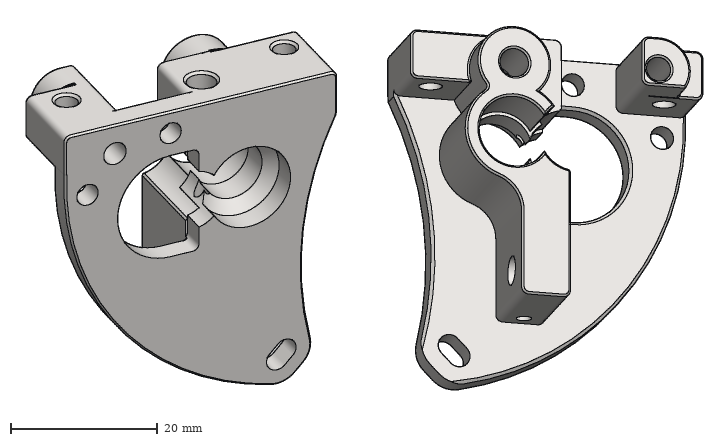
import cadquery as cq
import math


depth = 17.5
width = 41.35
height = 47.25

bar_front = 5.0
plate_front = 13.95
bore_step = 7.85
flare_start = 12.2

corner_radius = 1.0
edge_chamfer = 0.3
plate_chamfer = 0.43
boss_flare = 0.25

bar_height = 6.9
notch_y_min = 9.95
notch_y_max = 20.05

bore_y = 28.0
clearance_y = 19.45
bore_z = -14.92
bore_radius = 4.5
bore_front_radius = 4.95
flare_radius = bore_radius + plate_front - flare_start
ring_radius = 6.95
cusp_y = (bore_y + clearance_y) / 2

leg_y_max = 26.95
leg_bottom = -38.0
leg_blend_radius = 5.0
leg_hole_diameter = 4.0
leg_hole_x = 5.55
leg_hole_z = -33.2

pivot_radius = 5.15
pivot_hole_diameter = 4.0
pivot_hole_depth = 9.45
drill_tip_angle = 118.0
neck_fillet = 0.7

lug_boss_y = 7.6
lug_boss_radius = 4.5
lug_hole_diameter = 3.4

mount_hole_diameter = 3.2
mount_hole_x = 8.5
mount_hole_ys = (4.65, 37.65)
screw_x = 11.55
screw_y = 23.6
screw_diameter = 2.1
screw_head_diameter = 4.2
screw_head_depth = 4.7
hole_chamfer = 0.4

plate_hole_diameter = 3.2
plate_holes = ((16.05, -3.4), (3.45, -9.95))
convex_center_z = -8.0
concave_center = (86.75, -29.45)
tip_radius = 3.95
slot_diameter = 3.2
slot_length = 1.8
slot_angle = 45.0
slot_low = (32.2, tip_radius - height)
window_y = 16.0
window_radius = 8.0
window_y_max = 20.35


def yz_plane(x):
    """Sketch plane facing +X at the given depth; its axes are Y and Z."""
    return cq.Workplane("YZ", origin=(x, 0, 0))


def block(x, y, z):
    """Box between the (low, high) limits of each axis."""
    size = (x[1] - x[0], y[1] - y[0], z[1] - z[0])
    return cq.Workplane("XY").box(*size, centered=False).translate((x[0], y[0], z[0]))


def rod(y, z, radius, x_start, x_end):
    """Cylinder along X."""
    return yz_plane(x_start).center(y, z).circle(radius).extrude(x_end - x_start)


def cone(y, z, radius_start, radius_end, x_start, x_end):
    """Truncated cone along X."""
    section = yz_plane(x_start).center(y, z).circle(radius_start)
    return section.workplane(offset=x_end - x_start).circle(radius_end).loft()


def polar(center, radius, angle):
    """Point at an angle (radians) on a circle."""
    return (center[0] + radius * math.cos(angle), center[1] + radius * math.sin(angle))


def add_arc(outline, center, radius, start, end):
    """Continue an outline along a circle, from its start angle to its end angle."""
    return outline.threePointArc(polar(center, radius, (start + end) / 2), polar(center, radius, end))


def angle_to(start, end):
    """Direction of the line from start to end, from 0 to a full turn."""
    return math.atan2(end[1] - start[1], end[0] - start[0]) % (2 * math.pi)


slot_high = polar(slot_low, slot_length, math.radians(slot_angle))


def make_plate():
    """Sail-shaped plate whose curved edges run tangent into the rounded tip."""
    tip_drop = convex_center_z - slot_low[1]
    convex_radius = (slot_low[0] ** 2 + tip_drop**2 - tip_radius**2) / (2 * (slot_low[0] - tip_radius))
    convex_center = (convex_radius, convex_center_z)
    convex_end = angle_to(convex_center, slot_low)

    concave_radius = math.dist(concave_center, slot_high) - tip_radius
    concave_start = angle_to(concave_center, slot_high)
    concave_end = math.pi - math.asin((-bar_height - concave_center[1]) / concave_radius)

    tip_side = math.radians(slot_angle - 90) + 2 * math.pi

    plate_top = corner_radius - bar_height
    outline = yz_plane(plate_front).moveTo(width, plate_top).lineTo(0, plate_top)
    outline = outline.lineTo(0, convex_center_z)
    outline = add_arc(outline, convex_center, convex_radius, math.pi, convex_end)
    outline = add_arc(outline, slot_low, tip_radius, convex_end, tip_side)
    outline = outline.lineTo(*polar(slot_high, tip_radius, tip_side))
    outline = add_arc(outline, slot_high, tip_radius, tip_side, concave_start + math.pi)
    outline = add_arc(outline, concave_center, concave_radius, concave_start, concave_end)
    plate = outline.close().extrude(depth - plate_front)
    bevel_end = plate_front + plate_chamfer
    convex_bevel = cone(
        *convex_center, convex_radius - plate_chamfer, convex_radius, plate_front, bevel_end
    ).union(rod(*convex_center, convex_radius, bevel_end, depth))
    concave_bevel = cone(
        *concave_center, concave_radius + plate_chamfer, concave_radius, plate_front, bevel_end
    )
    return plate.intersect(convex_bevel).cut(concave_bevel)


def make_bar():
    """Top bar across the full width, with the notch between the two lugs."""
    bar = block((bar_front, depth), (0, width), (-bar_height, 0))
    bar = bar.edges("|X").fillet(corner_radius)
    bar = bar.faces("<X").chamfer(edge_chamfer)
    notch = block((0, plate_front), (notch_y_min - corner_radius, bore_y), (-height, 0))
    bar = bar.cut(notch)
    short_side = block((bar_front, plate_front), (lug_boss_y, notch_y_min), (-bar_height, 0))
    bar = bar.union(short_side.edges("|X and >Y").fillet(corner_radius))
    long_side = block((bar_front, plate_front), (notch_y_max, bore_y), (bore_z, 0))
    return bar.union(long_side.edges("|X and >Z and <Y").fillet(corner_radius))


def make_flare(y, z, radius):
    """Narrow cone at the foot of a boss where it meets the bar."""
    flare = cone(y, z, radius, radius + boss_flare, bar_front - boss_flare, bar_front)
    return flare.intersect(block((0, bar_front), (0, width), (-bar_height, 0)))


def make_short_lug():
    """Rounded boss carrying the short lug out to the clamp front."""
    boss = block((0, bar_front), (lug_boss_y, notch_y_min), (-bar_height, 0))
    boss = boss.union(rod(lug_boss_y, -lug_boss_radius, lug_boss_radius, 0, bar_front))
    boss = boss.intersect(block((0, bar_front), (0, notch_y_min), (-bar_height, 0)))
    boss = boss.edges("|X and >Y").fillet(corner_radius)
    boss = boss.faces("<X").chamfer(edge_chamfer)
    flare = make_flare(lug_boss_y, -lug_boss_radius, lug_boss_radius)
    return boss.union(flare.intersect(block((0, bar_front), (0, lug_boss_y), (-height, 0))))


def make_leg_blend():
    """Concave arc running from the leg's side into the clamp ring."""
    center_y = leg_y_max + leg_blend_radius
    center_z = bore_z - math.sqrt((ring_radius + leg_blend_radius) ** 2 - (center_y - bore_y) ** 2)
    center = (center_y, center_z)
    touch_angle = angle_to(center, (bore_y, bore_z))
    outline = yz_plane(0).moveTo(bore_y, bore_z).lineTo(cusp_y, bore_z).lineTo(cusp_y, center_z)
    outline = outline.lineTo(leg_y_max, center_z)
    outline = add_arc(outline, center, leg_blend_radius, math.pi, touch_angle)
    return outline.close().extrude(plate_front)


def make_clamp():
    """Pivot boss, clamp ring and leg as one profile running back to the plate."""
    leg = block((0, plate_front), (notch_y_max, leg_y_max), (leg_bottom, bore_z))
    leg = leg.edges("|X and <Z").fillet(corner_radius)
    ring = rod(bore_y, bore_z, ring_radius, 0, plate_front)
    ring = ring.intersect(block((0, plate_front), (notch_y_max, width), (-height, 0)))
    pivot = rod(bore_y, -pivot_radius, pivot_radius, 0, plate_front)
    clamp = leg.union(make_leg_blend()).union(ring).union(pivot)
    neck = cq.selectors.BoxSelector((0, bore_y, bore_z), (plate_front, width, -pivot_radius))
    clamp = clamp.edges("|X").edges(neck).fillet(neck_fillet)
    clamp = clamp.faces("<X").chamfer(edge_chamfer)
    flare = make_flare(bore_y, -pivot_radius, pivot_radius)
    return clamp.union(flare.intersect(block((0, bar_front), (bore_y, width), (-height, 0))))


def cut_clearance(body):
    """Clearance bore through the lugs, with its edges and front mouth chamfered."""
    body = body.cut(rod(clearance_y, bore_z, bore_front_radius, 0, plate_front))
    rims = cq.selectors.BoxSelector(
        (0, notch_y_max - edge_chamfer, bore_z - ring_radius),
        (plate_front, notch_y_max + edge_chamfer, bore_z + ring_radius),
    )
    body = body.edges("|X").edges(rims).chamfer(edge_chamfer)
    return body.cut(bore_mouth(clearance_y))


def bore_mouth(y):
    """Chamfer cone at the front end of a bore."""
    return cone(y, bore_z, bore_front_radius + edge_chamfer, bore_front_radius, 0, edge_chamfer)


def make_sleeve():
    """Inner half of the clamp ring, where both bores narrow."""
    return rod(bore_y, bore_z, ring_radius, bore_step, plate_front)


def cut_bores(body):
    """Stepped clamp bore flaring into the plate, and the narrow clearance bore."""
    body = body.cut(bore_mouth(bore_y))
    body = body.cut(rod(bore_y, bore_z, bore_front_radius, 0, bore_step))
    body = body.cut(rod(bore_y, bore_z, bore_radius, 0, plate_front))
    body = body.cut(cone(bore_y, bore_z, bore_radius, flare_radius, flare_start, plate_front))
    body = body.cut(rod(bore_y, bore_z, flare_radius, plate_front, depth))
    return body.cut(rod(clearance_y, bore_z, bore_radius, 0, depth))


def cut_window(body):
    """Round-ended window through the plate, with a chamfered front rim."""
    top = bore_z + window_radius
    bottom = bore_z - window_radius
    window = block((plate_front, depth), (window_y, window_y_max), (bottom, top))
    window = window.edges("|X and >Y").fillet(corner_radius)
    round_end = rod(window_y, bore_z, window_radius, plate_front, depth)
    window = window.union(round_end.intersect(block((plate_front, depth), (0, window_y), (-height, 0))))
    rim = window.faces("<X").wires().toPending().offset2D(plate_chamfer)
    rim = rim.extrude(plate_chamfer, taper=45)
    rim = rim.intersect(block((plate_front, depth), (0, notch_y_max), (-height, 0)))
    return body.cut(window).cut(rim)


def drill_down(body, x, y, diameter, hole_depth):
    """Vertical hole from the top face with a chamfered mouth."""
    radius = diameter / 2
    hole = cq.Workplane("XY").center(x, y).circle(radius).extrude(-hole_depth)
    mouth = cq.Workplane("XY").center(x, y).circle(radius + hole_chamfer).workplane(offset=-hole_chamfer)
    return body.cut(hole).cut(mouth.circle(radius).loft())


def cut_vertical_holes(body):
    """Two mounting holes and a counterbored screw hole running down the leg."""
    for y in mount_hole_ys:
        body = drill_down(body, mount_hole_x, y, mount_hole_diameter, bar_height)
    body = drill_down(body, screw_x, screw_y, screw_head_diameter, screw_head_depth)
    shank = cq.Workplane("XY").center(screw_x, screw_y).circle(screw_diameter / 2).extrude(-height)
    return body.cut(shank)


def cut_front_holes(body):
    """Blind hole with a drill tip in the pivot boss and a through hole in the short lug."""
    for y, z, diameter, end in (
        (bore_y, -pivot_radius, pivot_hole_diameter, pivot_hole_depth),
        (lug_boss_y, -lug_boss_radius, lug_hole_diameter, depth),
    ):
        radius = diameter / 2
        body = body.cut(rod(y, z, radius, 0, end))
        body = body.cut(cone(y, z, radius + edge_chamfer, radius, 0, edge_chamfer))
    pivot_hole_radius = pivot_hole_diameter / 2
    tip_length = pivot_hole_radius / math.tan(math.radians(drill_tip_angle / 2))
    tip = cq.Solid.makeCone(
        pivot_hole_radius,
        0,
        tip_length,
        cq.Vector(pivot_hole_depth, bore_y, -pivot_radius),
        cq.Vector(1, 0, 0),
    )
    return body.cut(cq.Workplane(tip))


def cut_leg_hole(body):
    """Cross hole through the leg along Y."""
    hole = cq.Workplane("XZ").center(leg_hole_x, leg_hole_z).circle(leg_hole_diameter / 2)
    return body.cut(hole.extrude(-width))


def cut_plate_holes(body):
    """Two round holes and the slanted tip slot."""
    for y, z in plate_holes:
        body = body.cut(rod(y, z, plate_hole_diameter / 2, plate_front, depth))
    slot_y = (slot_low[0] + slot_high[0]) / 2
    slot_z = (slot_low[1] + slot_high[1]) / 2
    slot = yz_plane(plate_front).center(slot_y, slot_z)
    slot = slot.slot2D(slot_length + slot_diameter, slot_diameter, slot_angle)
    return body.cut(slot.extrude(depth - plate_front))


body = cut_clearance(make_clamp().union(make_bar()))
body = body.union(make_sleeve()).union(make_short_lug()).union(make_plate())
body = body.faces(">X").chamfer(edge_chamfer)
body = cut_bores(body)
body = cut_window(body)
body = cut_vertical_holes(body)
body = cut_front_holes(body)
body = cut_leg_hole(body)
result = cut_plate_holes(body)